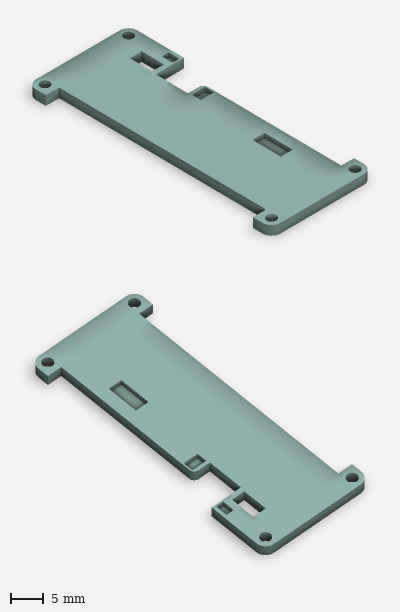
import cadquery as cq

length = 52.85
width = 21.8
thickness = 2.0

corner_radius = 1.9
hole_inset = 1.9
hole_diameter = 2.0
tab_length = 4.0

front_setback = 2.85
rear_setback = 2.75
rear_edge = width - rear_setback

notch_left = 12.0
notch_right = 18.95
notch_floor = 15.75
notch_corner_radius = 1.0

window = (6.25, 15.9, 4.8, 2.55)
pockets = [
    (9.3, 19.7, 2.4, 1.5),
    (19.6, 15.9, 1.95, 2.85),
    (34.5, 14.15, 6.15, 2.6),
]
pocket_depth = thickness / 2


def make_plate():
    """Plate outline with tabs and notch, rounded at its outer corners."""
    right_tab_left = length - tab_length
    outline = [
        (0, 0),
        (tab_length, 0),
        (tab_length, front_setback),
        (right_tab_left, front_setback),
        (right_tab_left, 0),
        (length, 0),
        (length, width),
        (right_tab_left, width),
        (right_tab_left, rear_edge),
        (notch_right, rear_edge),
        (notch_right, notch_floor),
        (notch_left, notch_floor),
        (notch_left, width),
        (0, width),
    ]
    plate = cq.Workplane("XY").polyline(outline).close().extrude(thickness)
    plate = plate.edges("|Z and (<X or >X)").fillet(corner_radius)
    notch_corner = cq.selectors.NearestToPointSelector((notch_right, rear_edge, thickness / 2))
    return plate.edges("|Z").edges(notch_corner).fillet(notch_corner_radius)


def make_holes():
    """Through-hole cutters, one in each corner."""
    centers = [
        (x, y)
        for x in (hole_inset, length - hole_inset)
        for y in (hole_inset, width - hole_inset)
    ]
    return cq.Workplane("XY").pushPoints(centers).circle(hole_diameter / 2).extrude(thickness)


def make_opening(opening, depth):
    """Rectangular cutter reaching the given depth below the top face."""
    left, front, size_x, size_y = opening
    cutter = cq.Workplane("XY").box(size_x, size_y, depth, centered=False)
    return cutter.translate((left, front, thickness - depth))


result = make_plate().cut(make_holes())
result = result.cut(make_opening(window, thickness))
for pocket in pockets:
    result = result.cut(make_opening(pocket, pocket_depth))